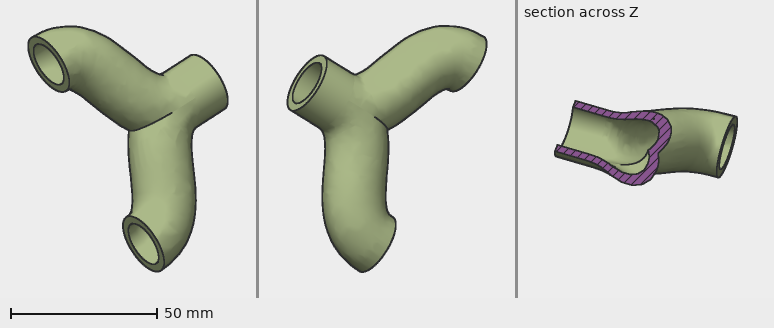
import cadquery as cq
import math

tube_outer_radius = 10.905
tube_bore_radius = 8.0
outlet_offset = 25.0
overall_length = 50.0
trunk_length = 12.0
curve_handle = 22.4

fork_start = overall_length - trunk_length
side_reach = outlet_offset * math.sqrt(2)

branch_plane = cq.Plane(origin=(0, 0, 0), xDir=(1, 0, -1), normal=(1, 0, 1))


def disc(y, radius):
    """Round section on the trunk axis at the given Y, facing the outlets."""
    section_plane = cq.Plane(origin=(0, y, 0), xDir=(1, 0, 0), normal=(0, -1, 0))
    return cq.Workplane(section_plane).circle(radius)


def branch_centreline(side):
    """S-curve from the trunk to one outlet, parallel to Y at both ends; side is +1 or -1."""
    outlet_reach = side * side_reach
    return cq.Workplane(branch_plane).bezier(
        [
            (0, fork_start),
            (0, fork_start - curve_handle),
            (outlet_reach, curve_handle),
            (outlet_reach, 0),
        ]
    )


def forked_bar(radius):
    """Straight trunk and both curved branches joined into one solid Y-shaped bar."""
    bar = disc(overall_length, radius).extrude(trunk_length)
    for side in (1, -1):
        bar = bar.union(disc(fork_start, radius).sweep(branch_centreline(side)))
    return bar


result = forked_bar(tube_outer_radius).cut(forked_bar(tube_bore_radius))